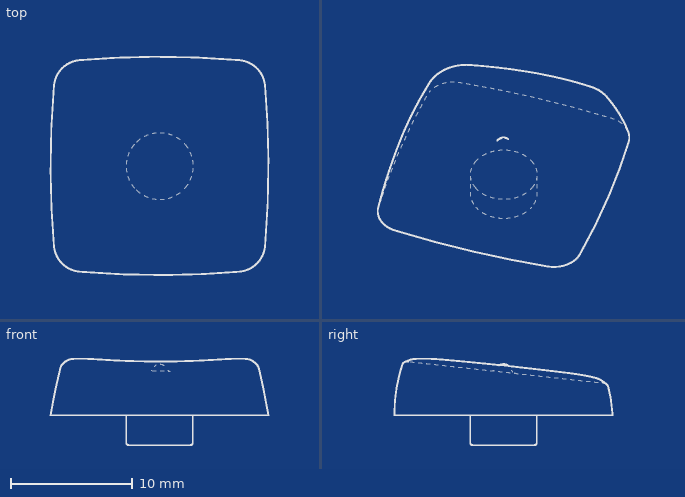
import cadquery as cq
import math

BASE_SECTION = (0, 8.98, 9, 9, 0.47, 2.34)
MIDDLE_SECTION = (2.52, 8.5, 8.59, 8.77, 0.68, 2.88)
UPPER_SECTION = (5.4, 7.81, 7.38, 7.88, 0.9, 3.42)

dish_center_height = 3.56
dish_radius = 55.8
dish_tilt = math.degrees(math.atan(0.11))
dish_length = 36
rim_fillet = 0.4

stem_diameter = 5.5
stem_length = 2.47
stem_fillet = 0.22

bump_diameter = 1.08
bump_flare_width = 0.54
bump_flare_height = 0.32
dome_rise = 0.35
bump_embed = 0.36


def skirt_wire(height, half_width, rear, front, bow, corner_radius):
    """Closed outline with four bowed sides and rounded corners."""
    side_x = half_width - bow
    rear_y = rear - bow
    front_y = bow - front
    middle_y = (rear - front) / 2
    face = cq.Face.makeFromWires(
        cq.Workplane("XY", origin=(0, 0, height))
        .moveTo(-side_x, front_y)
        .threePointArc((0, -front), (side_x, front_y))
        .threePointArc((half_width, middle_y), (side_x, rear_y))
        .threePointArc((0, rear), (-side_x, rear_y))
        .threePointArc((-half_width, middle_y), (-side_x, front_y))
        .close()
        .val()
    )
    return face.fillet2D(corner_radius, face.Vertices()).outerWire()


def make_cap():
    """Tapered skirt cut by the tilted dish, with a softened rim."""
    sections = (BASE_SECTION, MIDDLE_SECTION, UPPER_SECTION)
    skirt = cq.Workplane(cq.Solid.makeLoft([skirt_wire(*section) for section in sections]))
    dish = (
        cq.Workplane("XZ")
        .center(0, dish_radius)
        .circle(dish_radius)
        .extrude(dish_length / 2, both=True)
        .rotate((0, 0, 0), (1, 0, 0), -dish_tilt)
        .translate((0, 0, dish_center_height))
    )
    return skirt.cut(dish).faces("%CYLINDER").edges().fillet(rim_fillet)


def make_stem():
    """Round post below the cap with a rounded lower edge."""
    post = cq.Workplane("XY").circle(stem_diameter / 2).extrude(-stem_length)
    return post.faces("<Z").edges().fillet(stem_fillet)


def half_arc_offset(run, rise):
    """Offset from the level end of an arc to its middle, for the given total run and rise."""
    radius = (run**2 + rise**2) / (2 * rise)
    half_angle = math.asin(run / radius) / 2
    return radius * math.sin(half_angle), radius * (1 - math.cos(half_angle))


def make_bump():
    """Domed pip with a concave flare at its foot, square to the dish."""
    pip_radius = bump_diameter / 2
    flare_reach = pip_radius + bump_flare_width
    bump_height = bump_flare_height + dome_rise
    flare_run, flare_climb = half_arc_offset(bump_flare_width, bump_flare_height)
    dome_run, dome_drop = half_arc_offset(pip_radius, dome_rise)
    return (
        cq.Workplane("XZ")
        .moveTo(0, -bump_embed)
        .lineTo(flare_reach, -bump_embed)
        .lineTo(flare_reach, 0)
        .threePointArc((flare_reach - flare_run, flare_climb), (pip_radius, bump_flare_height))
        .threePointArc((dome_run, bump_height - dome_drop), (0, bump_height))
        .close()
        .revolve(360, (0, 0), (0, 1))
        .rotate((0, 0, 0), (1, 0, 0), -dish_tilt)
        .translate((0, 0, dish_center_height))
    )



result = make_cap().union(make_stem()).union(make_bump())